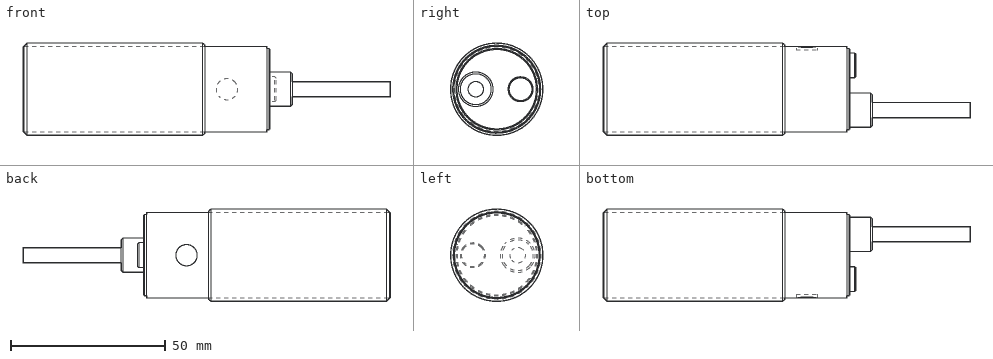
import cadquery as cq

TOTAL_LENGTH = 118.9

CORE_RADIUS = 13.9
CORE_FRONT_BEVEL = 0.2
SHOULDER_X = 79.0
LIP_RADIUS = 13.2
LIP_LENGTH = 1.0
LIP_BEVEL = 0.4
CORE_END = SHOULDER_X + LIP_LENGTH

SLEEVE_RADIUS = 15.0
SLEEVE_START = 0.4
SLEEVE_END = 58.9
SLEEVE_FRONT_BEVEL = 1.0
SLEEVE_REAR_BEVEL = 0.7

KNOB_RADIUS = 4.0
KNOB_HEIGHT = 1.9
KNOB_BEVEL = 0.4
KNOB_Y = 7.7

GLAND_RADIUS = 5.6
GLAND_LENGTH = 7.3
GLAND_BEVEL = 0.6
CABLE_RADIUS = 2.5
CABLE_Y = -6.8

WINDOW_RADIUS = 3.5
WINDOW_DEPTH = 1.2
WINDOW_X = 66.0


def rod(start, length, radius, y=0.0):
    """Cylinder along X, starting at X = start."""
    return cq.Workplane("YZ", origin=(start, y, 0)).circle(radius).extrude(length)


def make_window():
    top_plane = cq.Workplane("XZ", origin=(WINDOW_X, CORE_RADIUS, 0))
    return top_plane.circle(WINDOW_RADIUS).extrude(WINDOW_DEPTH)


def make_core(window):
    """Core with bevelled front edge and rear lip, and a seat for the window."""
    lip = rod(SHOULDER_X, LIP_LENGTH, LIP_RADIUS).faces(">X").edges().chamfer(LIP_BEVEL)
    body = rod(0, SHOULDER_X, CORE_RADIUS).faces("<X").edges().chamfer(CORE_FRONT_BEVEL)
    return body.union(lip).cut(window)


def make_sleeve():
    length = SLEEVE_END - SLEEVE_START
    sleeve = rod(SLEEVE_START, length, SLEEVE_RADIUS)
    sleeve = sleeve.faces("<X").edges().chamfer(SLEEVE_FRONT_BEVEL)
    sleeve = sleeve.faces(">X").edges().chamfer(SLEEVE_REAR_BEVEL)
    return sleeve.cut(rod(SLEEVE_START, length, CORE_RADIUS))


def make_knob():
    knob = rod(CORE_END, KNOB_HEIGHT, KNOB_RADIUS, KNOB_Y)
    return knob.faces(">X").edges().chamfer(KNOB_BEVEL)


def make_gland():
    gland = rod(CORE_END, GLAND_LENGTH, GLAND_RADIUS, CABLE_Y)
    return gland.faces(">X").edges().chamfer(GLAND_BEVEL)


def make_cable():
    gland_end = CORE_END + GLAND_LENGTH
    return rod(gland_end, TOTAL_LENGTH - gland_end, CABLE_RADIUS, CABLE_Y)


window = make_window()
core = make_core(window)
sleeve = make_sleeve()
knob = make_knob()
gland = make_gland()
cable = make_cable()

result = cq.Compound.makeCompound([
    sleeve.val(),
    core.val(),
    window.val(),
    knob.val(),
    gland.val(),
    cable.val(),
])